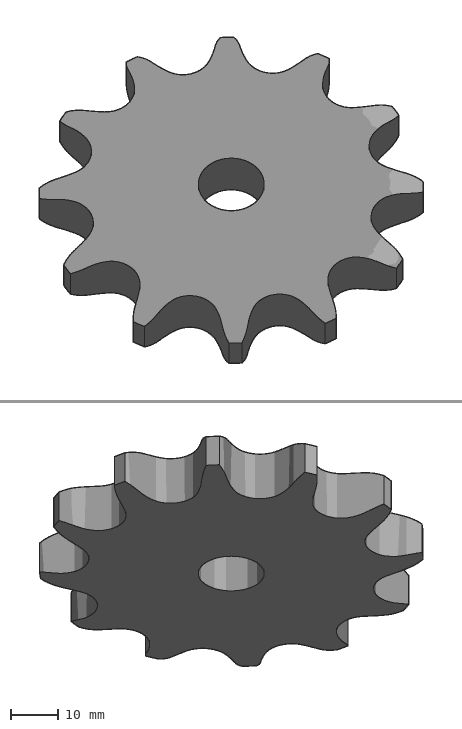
import cadquery as cq
import math


tooth_count = 12
chain_pitch = 19.05
roller_diameter = 12.1
thickness = 11.1
bore_diameter = 14.0
outer_width = 79.4

seat_radius = 6.1
seat_half_angle = 55 - 60 / tooth_count
working_angle = 18 - 56 / tooth_count
working_radius = 1.3 * roller_diameter
flank_length = 1.2
tip_arc_radius = 10.25

rounding_radius = chain_pitch
rounding_depth = 2.0


def offset(point, distance, angle):
    """Move a point along a direction whose angle is counted from -Y towards +X."""
    turn = math.radians(angle)
    return (point[0] + distance * math.sin(turn), point[1] - distance * math.cos(turn))


def mirrored(point):
    return (-point[0], point[1])


pitch_radius = chain_pitch / 2 / math.sin(math.pi / tooth_count)
flank_angle = seat_half_angle + working_angle

seat_centre = (0, pitch_radius)
root = offset(seat_centre, seat_radius, 0)
seat_middle = offset(seat_centre, seat_radius, seat_half_angle / 2)
seat_end = offset(seat_centre, seat_radius, seat_half_angle)

working_centre = offset(seat_end, -working_radius, seat_half_angle)
working_middle = offset(working_centre, working_radius, seat_half_angle + working_angle / 2)
working_end = offset(working_centre, working_radius, flank_angle)

flank_end = offset(working_end, flank_length, flank_angle + 90)

tip_arc_centre = offset(flank_end, tip_arc_radius, flank_angle)
tip_arc_middle = offset(tip_arc_centre, -tip_arc_radius, flank_angle / 2)
tip_arc_end = offset(tip_arc_centre, -tip_arc_radius, 0)

tip_corner_y = outer_width / 2
tip_corner_x = tip_arc_centre[0] - math.sqrt(tip_arc_radius**2 - (tip_corner_y - tip_arc_centre[1]) ** 2)
tip_radius = math.hypot(tip_corner_x, tip_corner_y)


def make_blank():
    """Disc with both rims rounded by arcs tangent to the flat faces."""
    half = thickness / 2
    rim_half = half - rounding_depth
    rounding_width = math.sqrt(rounding_radius**2 - (rounding_radius - rounding_depth) ** 2)
    face_radius = tip_radius - rounding_width
    return (
        cq.Workplane("XZ")
        .moveTo(0, -half)
        .lineTo(face_radius, -half)
        .radiusArc((tip_radius, -rim_half), -rounding_radius)
        .lineTo(tip_radius, rim_half)
        .radiusArc((face_radius, half), -rounding_radius)
        .lineTo(0, half)
        .close()
        .revolve(360, (0, 0, 0), (0, 1, 0))
    )


def bottom_plane():
    return cq.Workplane("XY", origin=(0, 0, -thickness / 2))


def make_gap():
    """Cutter for the tooth gap centred on +Y; its seat is two arcs meeting at the root."""
    return (
        bottom_plane()
        .moveTo(*tip_arc_end)
        .threePointArc(tip_arc_middle, flank_end)
        .lineTo(*working_end)
        .threePointArc(working_middle, seat_end)
        .threePointArc(seat_middle, root)
        .threePointArc(mirrored(seat_middle), mirrored(seat_end))
        .threePointArc(mirrored(working_middle), mirrored(working_end))
        .lineTo(*mirrored(flank_end))
        .threePointArc(mirrored(tip_arc_middle), mirrored(tip_arc_end))
        .close()
        .extrude(thickness, clean=False)
    )


result = make_blank()

gap = make_gap()
for index in range(tooth_count):
    turned_gap = gap.rotate((0, 0, 0), (0, 0, 1), index * 360 / tooth_count)
    result = result.cut(turned_gap, clean=False)

bore = bottom_plane().circle(bore_diameter / 2).extrude(thickness)
result = result.cut(bore, clean=False)